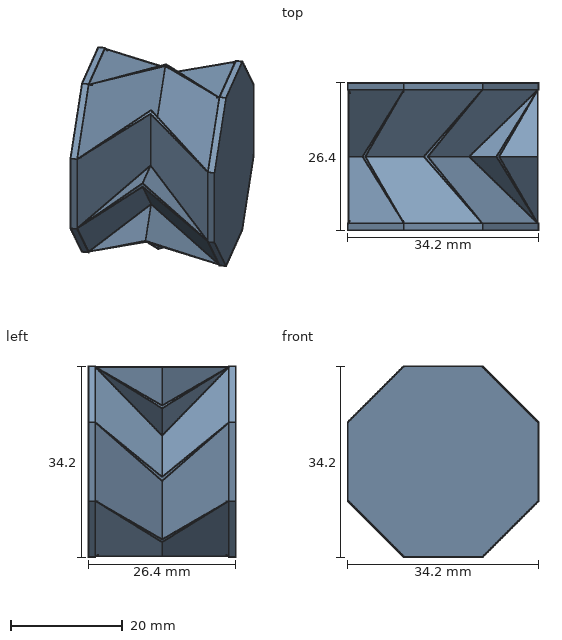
import cadquery as cq
import math

sides = 8
flange_across_flats = 34.2
total_length = 26.4
flange_thickness = 1.23
flange_step = 0.15
groove_slope = 30.0
wall_tip_offset = 3.45

half_drum = total_length / 2 - flange_thickness
half_turn = math.pi / sides
drum_apothem = flange_across_flats / 2 - flange_step
drum_corner = drum_apothem * math.tan(half_turn)
groove_depth = half_drum * math.tan(math.radians(groove_slope))
groove_reach = flange_across_flats


def octagonal_prism(apothem, length):
    """Prism centred on the origin, along Y, with flats facing X and Z."""
    diameter = 2 * apothem / math.cos(half_turn)
    return (
        cq.Workplane("XZ")
        .transformed(rotate=(0, 0, math.degrees(half_turn)))
        .polygon(sides, diameter)
        .extrude(length / 2, both=True)
    )


def groove_cutter():
    """V groove in the top face, open toward -X and closed by an upright chevron wall."""
    v_section = (
        cq.Workplane("YZ")
        .moveTo(-half_drum, drum_apothem)
        .lineTo(0, drum_apothem - groove_depth)
        .lineTo(half_drum, drum_apothem)
        .close()
        .extrude(groove_reach, both=True)
    )
    chevron_plan = (
        cq.Workplane("XY")
        .moveTo(-groove_reach, -half_drum)
        .lineTo(drum_corner, -half_drum)
        .lineTo(-wall_tip_offset, 0)
        .lineTo(drum_corner, half_drum)
        .lineTo(-groove_reach, half_drum)
        .close()
        .extrude(flange_across_flats)
    )
    return v_section.intersect(chevron_plan)


drum = octagonal_prism(drum_apothem, 2 * half_drum)
cutter = groove_cutter()
for side in range(sides):
    drum = drum.cut(cutter.rotate((0, 0, 0), (0, 1, 0), side * 360 / sides))

flange = octagonal_prism(flange_across_flats / 2, flange_thickness)
flange_centre = half_drum + flange_thickness / 2
result = drum
for end in (-1, 1):
    result = result.union(flange.translate((0, end * flange_centre, 0)))